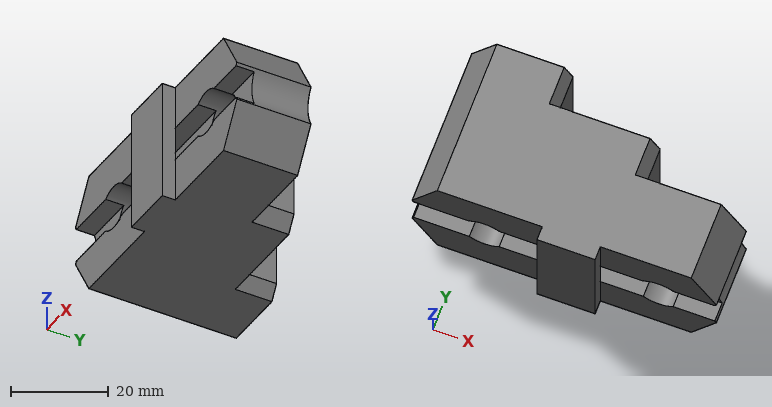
import cadquery as cq
import math

length = 66.55
height = 28.4
total_depth = 37.9
key_depth = 3.05
body_depth = total_depth - key_depth

bevel_angle = math.radians(60)
seat_half_height = 4.65
seat_sag = 1.25

step_depth = 8.65
middle_step_x = 11.2
rear_step_x = -11.1
middle_bevel_width = 2.2
rear_bevel_width = 1.9

key_width = 12.7
key_center_x = 1.5
slot_height = 8.0
slot_depth = 4.25
hole_diameter = 10.3
hole_spacing = 38.05


def beveled_end(tip_x, bevel_width):
    """Points of a +X end from its lower to its upper bevel."""
    top = height / 2
    land = top - bevel_width * math.tan(bevel_angle)
    shoulder_x = tip_x - bevel_width
    return [(shoulder_x, -top), (tip_x, -land), (tip_x, land), (shoulder_x, top)]


def extrude_back(sketch, start_y, end_y):
    """Extrude an XZ sketch toward +Y and place it between two depths."""
    return sketch.extrude(start_y - end_y).translate((0, start_y, 0))


def make_blank():
    """Full-length bar with a concave seat at both ends."""
    half = length / 2
    top = height / 2
    shoulder = half - (top - seat_half_height) / math.tan(bevel_angle)
    sketch = (
        cq.Workplane("XZ")
        .moveTo(-shoulder, -top)
        .lineTo(shoulder, -top)
        .lineTo(half, -seat_half_height)
        .threePointArc((half - seat_sag, 0), (half, seat_half_height))
        .lineTo(shoulder, top)
        .lineTo(-shoulder, top)
        .lineTo(-half, seat_half_height)
        .threePointArc((seat_sag - half, 0), (-half, -seat_half_height))
        .close()
    )
    return extrude_back(sketch, 0, body_depth)


def make_step_limit(tip_x, bevel_width, start_y, end_y):
    """Block that keeps everything up to one beveled step end."""
    points = [(-length, -height / 2)] + beveled_end(tip_x, bevel_width) + [(-length, height / 2)]
    return extrude_back(cq.Workplane("XZ").polyline(points).close(), start_y, end_y)


def make_key():
    """Rectangular guide key standing out of the guide face."""
    return cq.Workplane("XY").box(key_width, key_depth, height).translate((key_center_x, -key_depth / 2, 0))


def make_holes():
    """Two screw holes through the full depth, centred about the key."""
    hole_centers = [(key_center_x + side * hole_spacing / 2, 0) for side in (-1, 1)]
    sketch = cq.Workplane("XZ").pushPoints(hole_centers)
    return extrude_back(sketch.circle(hole_diameter / 2), 0, body_depth)


def make_slot():
    """Lengthwise slot in the guide face, passing behind the key."""
    return cq.Workplane("XY").box(length, slot_depth, slot_height).translate((0, slot_depth / 2, 0))


rear_step_y = body_depth - step_depth
middle_step_y = rear_step_y - step_depth

front_limit = cq.Workplane("XY").box(length, middle_step_y, height).translate((0, middle_step_y / 2, 0))
middle_limit = make_step_limit(middle_step_x, middle_bevel_width, middle_step_y, rear_step_y)
rear_limit = make_step_limit(rear_step_x, rear_bevel_width, rear_step_y, body_depth)
limits = front_limit.union(middle_limit).union(rear_limit)

result = make_blank().intersect(limits).cut(make_holes()).cut(make_slot()).union(make_key())